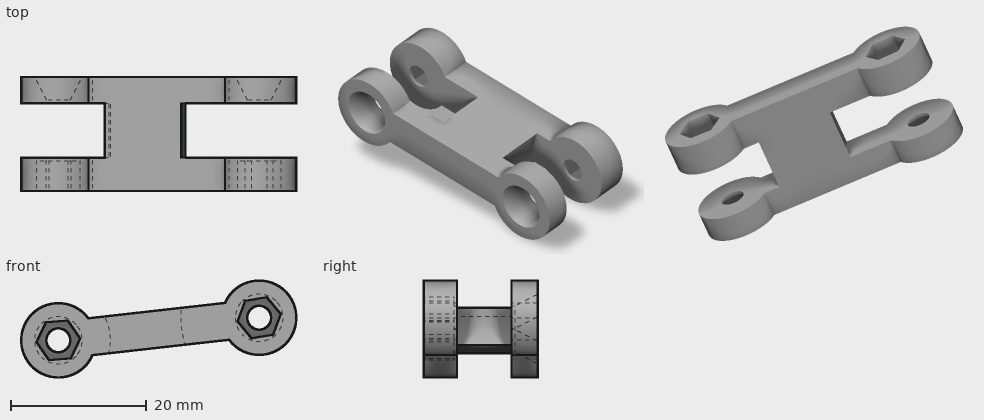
import cadquery as cq
import math

pivot_span_x = 29.61
pivot_rise_z = 3.33
link_angle = math.degrees(math.atan2(pivot_rise_z, pivot_span_x))
pivot_distance = math.hypot(pivot_span_x, pivot_rise_z)

nut_arm_width = 4.94
gap_width = 8.0
plain_arm_width = 3.9
total_width = nut_arm_width + gap_width + plain_arm_width

eye_radius = 5.5
bar_height = 5.5
hole_diameter = 3.5

hole_land = 0.5

left_clearance_radius = 7.68
right_clearance_radius = 11.55

nut_across_flats = 5.6
nut_across_corners = nut_across_flats / math.cos(math.pi / 6)
nut_pocket_depth = nut_arm_width - hole_land
left_nut_turn = 4.5
right_nut_turn = 9.5

seat_diameter = 7.0
seat_depth = plain_arm_width - hole_land

left_pivot = (0, 0)
right_pivot = (pivot_span_x, pivot_rise_z)
pivots = (left_pivot, right_pivot)


def section_plane(y):
    """XZ work plane at the given Y, extruding toward +Y."""
    return cq.Plane(origin=(0, y, 0), xDir=(1, 0, 0), normal=(0, -1, 0))


def disc(center, radius, start_y, width):
    """Cylinder along Y, growing toward +Y from start_y."""
    return cq.Workplane(section_plane(start_y)).center(*center).circle(radius).extrude(-width)


def link_blank():
    """Straight bar with a round eye at each end, over the full width."""
    blank = (
        cq.Workplane(section_plane(0))
        .center(pivot_span_x / 2, pivot_rise_z / 2)
        .transformed(rotate=(0, 0, link_angle))
        .rect(pivot_distance, bar_height)
        .extrude(-total_width)
    )
    for pivot in pivots:
        blank = blank.union(disc(pivot, eye_radius, 0, total_width))
    return blank


def nut_pocket(pivot, turn):
    """Hexagonal pocket opening on the nut-side face."""
    return (
        cq.Workplane(section_plane(0))
        .center(*pivot)
        .transformed(rotate=(0, 0, turn))
        .polygon(6, nut_across_corners)
        .extrude(-nut_pocket_depth)
    )


def screw_seat(pivot):
    """Cone widening from the hole to the outer face of the plain arm."""
    return (
        cq.Workplane(section_plane(total_width - seat_depth))
        .center(*pivot)
        .circle(hole_diameter / 2)
        .workplane(offset=-seat_depth)
        .circle(seat_diameter / 2)
        .loft()
    )


result = link_blank()

result = result.cut(disc(left_pivot, left_clearance_radius, nut_arm_width, gap_width))
result = result.cut(disc(right_pivot, right_clearance_radius, nut_arm_width, gap_width))

for pivot in pivots:
    result = result.cut(disc(pivot, hole_diameter / 2, 0, total_width))
    result = result.cut(screw_seat(pivot))

result = result.cut(nut_pocket(left_pivot, left_nut_turn))
result = result.cut(nut_pocket(right_pivot, right_nut_turn))